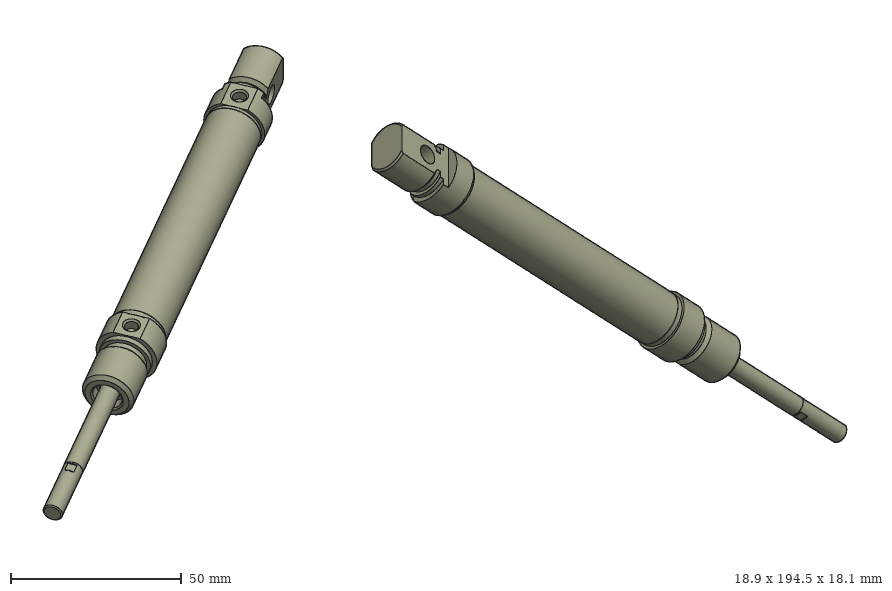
import cadquery as cq
import math


rear_end = 194.5
mount_hole_y = 183.5
rear_groove_end = 180.5
rear_groove_start = 178.0
rear_collar_end = 176.6
mount_flat_start = 174.5
rear_port_y = 172.1
rear_collar_start = 167.3
barrel_rear = 166.1
barrel_front = 78.8
front_collar_end = 77.0
front_port_y = 72.7
front_collar_start = 68.3
front_groove_end = 66.5
front_groove_start = 63.6
nose_end = 50.2
thread_end = 19.0
wrench_flat_end = 18.5

barrel_dia = 17.3
shoulder_dia = 17.1
collar_dia = 18.9
neck_dia = 16.0
groove_dia = 13.6
recess_mouth_dia = 10.1
recess_dia = 9.1
seal_dia = 7.2
rod_clearance_dia = 6.5
rod_dia = 6.0
mount_hole_dia = 6.0
port_dia = 4.0
port_mouth_dia = 5.3

groove_bevel = (neck_dia - groove_dia) / 2
rear_chamfer = 0.5
recess_depth = 3.9
seal_depth = 1.0
rod_clearance_depth = 1.0
thread_step = 0.04
thread_dia = rod_dia - 2 * thread_step
thread_chamfer = 0.4
mount_width = 12.0
front_port_point_depth = 0
collar_flat_depth = 1.0
collar_flat_z = collar_dia / 2 - collar_flat_depth
port_depth = 3.5
port_point_angle = 118
rear_port_point_depth = port_dia / 2 / math.tan(math.radians(port_point_angle / 2))
port_chamfer = (port_mouth_dia - port_dia) / 2
wrench_flat_length = 3.0
wrench_flat_width = 5.3


def cylinder(diameter, start, end):
    """Solid cylinder on the Y axis between two Y positions."""
    return cq.Workplane("XZ", origin=(0, start, 0)).circle(diameter / 2).extrude(start - end)


def revolved(profile):
    """Solid turned about the Y axis from (radius, Y) points."""
    return cq.Workplane("XY").polyline(profile).close().revolve(360, (0, 0), (0, 1))


def block(width, start, end, bottom, top):
    """Box centred on X = 0 between two Y positions and two heights."""
    return cq.Workplane("XY", origin=(0, (start + end) / 2, bottom)).box(
        width, end - start, top - bottom, centered=(True, True, False)
    )


def port_collar(start, end, port_y, point_depth):
    """Collar with a flat on top and a blind air port with a chamfered mouth; point depth 0 gives a flat floor."""
    collar = cylinder(collar_dia, start, end)
    collar = collar.cut(block(collar_dia, start, end, collar_flat_z, collar_dia))
    floor = -port_depth
    port = (
        cq.Workplane("XZ")
        .polyline([
            (0, 0),
            (port_mouth_dia / 2, 0),
            (port_dia / 2, -port_chamfer),
            (port_dia / 2, floor),
            (0, floor - point_depth),
        ])
        .close()
        .revolve(360, (0, 0), (0, 1))
        .translate((0, port_y, collar_flat_z))
    )
    return collar.cut(port)


def make_rear_cap():
    """Rear cap with its port collar, grooved neck and flat-sided mounting lug."""
    shoulder = cylinder(shoulder_dia, barrel_rear, rear_collar_start)
    collar = port_collar(rear_collar_start, rear_collar_end, rear_port_y, rear_port_point_depth)
    neck_radius = neck_dia / 2
    groove_radius = groove_dia / 2
    lug = revolved([
        (0, rear_collar_end),
        (neck_radius, rear_collar_end),
        (neck_radius, rear_groove_start),
        (groove_radius, rear_groove_start),
        (groove_radius, rear_groove_end - groove_bevel),
        (neck_radius, rear_groove_end),
        (neck_radius, rear_end - rear_chamfer),
        (neck_radius - rear_chamfer, rear_end),
        (0, rear_end),
    ])
    envelope = block(mount_width, mount_flat_start, rear_end, -collar_dia, collar_dia).union(
        block(collar_dia, barrel_rear, mount_flat_start, -collar_dia, collar_dia)
    )
    mount_hole = (
        cq.Workplane("YZ", origin=(-mount_width, mount_hole_y, 0))
        .circle(mount_hole_dia / 2)
        .extrude(2 * mount_width)
    )
    return shoulder.union(collar).union(lug).intersect(envelope).cut(mount_hole)


def make_front_cap():
    """Front cap with its port collar, grooved nose and stepped rod bore."""
    shoulder = cylinder(shoulder_dia, front_collar_end, barrel_front)
    collar = port_collar(front_collar_start, front_collar_end, front_port_y, front_port_point_depth)
    neck_radius = neck_dia / 2
    groove_radius = groove_dia / 2
    nose = revolved([
        (0, nose_end),
        (groove_radius, nose_end),
        (neck_radius, nose_end + groove_bevel),
        (neck_radius, front_groove_start),
        (groove_radius, front_groove_start + groove_bevel),
        (groove_radius, front_groove_end),
        (neck_radius, front_groove_end),
        (neck_radius, front_collar_start),
        (0, front_collar_start),
    ])
    recess_floor = nose_end + recess_depth
    seal_floor = recess_floor + seal_depth
    clearance_floor = seal_floor + rod_clearance_depth
    bore = revolved([
        (0, nose_end),
        (recess_mouth_dia / 2, nose_end),
        (recess_dia / 2, nose_end + (recess_mouth_dia - recess_dia) / 2),
        (recess_dia / 2, recess_floor),
        (seal_dia / 2, recess_floor),
        (seal_dia / 2, seal_floor),
        (rod_clearance_dia / 2, seal_floor),
        (rod_clearance_dia / 2, clearance_floor),
        (rod_dia / 2, clearance_floor),
        (rod_dia / 2, barrel_front),
        (0, barrel_front),
    ])
    return shoulder.union(collar).union(nose).cut(bore)


def make_rod():
    """Piston rod with a slightly thinner threaded end and two wrench flats."""
    thread = cylinder(thread_dia, 0, thread_end).faces("<Y").chamfer(thread_chamfer)
    rod = cylinder(rod_dia, thread_end, barrel_front).union(thread)
    flat_start = wrench_flat_end - wrench_flat_length
    for side in (1, -1):
        inner = side * wrench_flat_width / 2
        outer = side * rod_dia
        rod = rod.cut(
            block(rod_dia, flat_start, wrench_flat_end, min(inner, outer), max(inner, outer))
        )
    return rod


barrel = cylinder(barrel_dia, barrel_front, barrel_rear)
rear_cap = make_rear_cap()
front_cap = make_front_cap()
rod = make_rod()

result = cq.Compound.makeCompound([barrel.val(), rear_cap.val(), front_cap.val(), rod.val()])